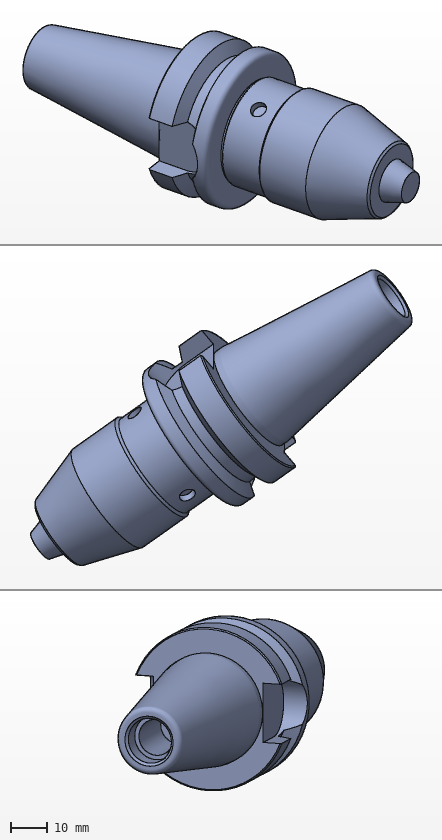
import cadquery as cq

total_length = 123.3
taper_end = 48.2
flange_start = 50.4
groove_start = 58.3
groove_floor_start = 60.5
groove_floor_end = 63.8
groove_end = 65.7
flange_end = 70.7
sleeve_start = 83.6
nose_start = 99.6
nose_end = 117.0

taper_small_diameter = 18.6
taper_large_diameter = 31.7
flange_diameter = 45.9
groove_diameter = 37.9
neck_diameter = 31.8
sleeve_diameter = 33.4
nose_end_diameter = 22.6
tip_base_diameter = 12.6
tip_end_diameter = 9.0

taper_rounding = 1.5
flange_front_chamfer = 0.4
flange_back_rounding = 1.5
sleeve_chamfer = 0.7
nose_chamfer = 0.6
relief_width = 0.7
relief_depth = 0.4

bore_diameter = 12.6
bore_depth = 6.2
bore_chamfer = 0.7
inner_bore_diameter = 10.1
inner_bore_depth = 24.7

slot_width = 16.6
slot_end = 67.8
slot_floor_offset = 16.0

hole_count = 3
hole_diameter = 4.6
hole_depth = 2.2
hole_position = 78.0


def turned_body():
    """Solid of revolution about X: taper, grooved flange, neck, sleeve, nose and tip."""
    flange_radius = flange_diameter / 2
    neck_radius = neck_diameter / 2
    sleeve_radius = sleeve_diameter / 2
    nose_end_radius = nose_end_diameter / 2
    relief_radius = neck_radius - relief_depth
    profile = (
        cq.Workplane("XY")
        .lineTo(0, taper_small_diameter / 2)
        .lineTo(taper_end, taper_large_diameter / 2)
        .lineTo(flange_start, taper_large_diameter / 2)
        .lineTo(flange_start, flange_radius - flange_front_chamfer)
        .lineTo(flange_start + flange_front_chamfer, flange_radius)
        .lineTo(groove_start, flange_radius)
        .lineTo(groove_floor_start, groove_diameter / 2)
        .lineTo(groove_floor_end, groove_diameter / 2)
        .lineTo(groove_end, flange_radius)
        .lineTo(flange_end - flange_back_rounding, flange_radius)
        .radiusArc((flange_end, flange_radius - flange_back_rounding), flange_back_rounding)
        .lineTo(flange_end, relief_radius)
        .lineTo(flange_end + relief_width, relief_radius)
        .lineTo(flange_end + relief_width, neck_radius)
        .lineTo(sleeve_start, neck_radius)
        .lineTo(sleeve_start + sleeve_chamfer, sleeve_radius)
        .lineTo(nose_start, sleeve_radius)
        .lineTo(nose_end - nose_chamfer, nose_end_radius)
        .lineTo(nose_end, nose_end_radius - nose_chamfer)
        .lineTo(nose_end, tip_base_diameter / 2)
        .lineTo(total_length, tip_end_diameter / 2)
        .lineTo(total_length, 0)
        .close()
    )
    body = profile.revolve(360, (0, 0, 0), (1, 0, 0))
    return body.faces("<X").edges().fillet(taper_rounding)


def stepped_bore():
    """Chamfered entry bore followed by a narrower blind bore."""
    entry_radius = bore_diameter / 2
    return (
        cq.Workplane("XY")
        .lineTo(0, entry_radius + bore_chamfer)
        .lineTo(bore_chamfer, entry_radius)
        .lineTo(bore_depth, entry_radius)
        .lineTo(bore_depth, inner_bore_diameter / 2)
        .lineTo(inner_bore_depth, inner_bore_diameter / 2)
        .lineTo(inner_bore_depth, 0)
        .close()
        .revolve(360, (0, 0, 0), (1, 0, 0))
    )


def drive_slot():
    """Round-ended slot on the -Y side, open toward the taper."""
    end_radius = slot_width / 2
    arc_start = slot_end - end_radius
    return (
        cq.Workplane("XZ", origin=(0, -slot_floor_offset, 0))
        .moveTo(taper_end, -end_radius)
        .lineTo(arc_start, -end_radius)
        .threePointArc((slot_end, 0), (arc_start, end_radius))
        .lineTo(taper_end, end_radius)
        .close()
        .extrude(flange_diameter / 2)
    )


def spanner_hole():
    """Flat-bottomed radial hole on the +Y side of the neck."""
    floor_offset = neck_diameter / 2 - hole_depth
    return (
        cq.Workplane("XZ", origin=(hole_position, floor_offset, 0))
        .circle(hole_diameter / 2)
        .extrude(-2 * hole_depth)
    )


def around_axis(shape, count):
    """Copies of a shape spaced evenly about the X axis."""
    step = 360 / count
    return [shape.rotate((0, 0, 0), (1, 0, 0), i * step) for i in range(count)]


result = turned_body().cut(stepped_bore())
for slot in around_axis(drive_slot(), 2):
    result = result.cut(slot)
for hole in around_axis(spanner_hole(), hole_count):
    result = result.cut(hole)